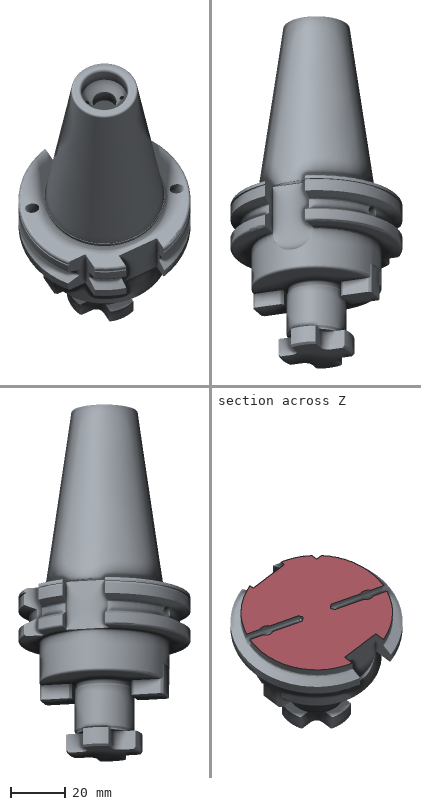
import cadquery as cq
import math

total_height = 129.4

match_distance = 0.01

clearance = 1.3

bolt_radius = 14.0
bolt_height = 7.0
bolt_chamfer = 0.8
arm_width = 9.7
arm_fillet = 3.1

pilot_radius = 11.0
neck_radius = 10.6
pilot_bottom = 7.5
pilot_top = 23.7
pilot_chamfer = 0.8

body_radius = 24.1
body_bottom = 26.0
body_rounding = 1.0
body_top_rounding = 0.4
neck_rounding = 0.6

flange_diameter = 63.5
flange_radius = flange_diameter / 2
flange_bottom = 41.8
flange_top = 59.9
flange_rounding = 1.0
ring_groove_top_drop = 1.5
ring_groove_width = 0.8
ring_groove_depth = 0.8
grip_root_radius = 28.0
grip_center_z = 50.0
grip_root_width = 3.4
grip_mouth_width = 7.4
grip_root_rounding = 0.5

taper_start_z = 62.1
taper_large_radius = 22.0
taper_ratio = 7 / 48
taper_top_rounding = 0.8
collar_groove_bottom = 60.4
collar_groove_top = 61.3
collar_groove_depth = 0.3
collar_radius = 22.1
collar_foot_radius = 23.3
collar_foot_height = 0.5

slot_width = 16.0
left_slot_x = 22.8
right_slot_x = 25.1
notch_distance = 18.5

key_width = 9.8
key_inner = 11.4
key_outer = 23.5
key_bottom = 20.6
key_top = 31.8
key_chamfer = 0.9

bore_radius = 8.5
bore_mouth_rounding = 1.0
bore_depth = 5.5
seat_radius = 7.0
seat_depth = 6.3
hole_radius = 4.4
hole_mouth_depth = 7.5
hole_depth = 13.0

coolant_angle = 70.0
coolant_radius = 2.1
coolant_mouth_distance = 27.0
coolant_slope = 52.0
axial_passage_radius = 0.8
axial_passage_distance = 6.5


def revolve_profile(points, roundings=()):
    """Revolve a closed outline of (radius, height) points about Z.

    Each rounding is a radius with the list of outline points that it rounds.
    """
    outline = cq.Wire.makePolygon([cq.Vector(r, 0, z) for r, z in points], close=True)
    for rounding, corners in roundings:
        places = [cq.Vector(r, 0, z) for r, z in corners]
        vertices = [
            vertex for vertex in outline.Vertices()
            if any((vertex.Center() - place).Length < match_distance for place in places)
        ]
        outline = outline.fillet2D(rounding, vertices)
    axis_start = cq.Vector(0, 0, 0)
    axis_end = cq.Vector(0, 0, 1)
    return cq.Workplane(cq.Solid.revolve(outline, [], 360, axis_start, axis_end))


def box(x_range, y_range, z_range):
    """Box spanning the given (low, high) pair on each axis."""
    sizes = [high - low for low, high in (x_range, y_range, z_range)]
    corner = (x_range[0], y_range[0], z_range[0])
    return cq.Workplane("XY").box(*sizes, centered=False).translate(corner)


def make_turned_body():
    """Everything coaxial above the bolt head."""
    ring_top = flange_top - ring_groove_top_drop
    mouth_half = grip_mouth_width / 2
    root_half = grip_root_width / 2
    groove_floor = collar_radius - collar_groove_depth
    taper_top_radius = taper_large_radius - (total_height - taper_start_z) * taper_ratio

    neck_corner = (neck_radius, body_bottom)
    body_corner = (body_radius, body_bottom)
    body_top_corner = (body_radius, flange_bottom)
    flange_lower_corner = (flange_radius, flange_bottom)
    grip_lower_root = (grip_root_radius, grip_center_z - root_half)
    grip_upper_root = (grip_root_radius, grip_center_z + root_half)
    flange_upper_corner = (flange_radius, flange_top)
    taper_top_corner = (taper_top_radius, total_height)

    outline = [
        (0, bolt_height),
        (neck_radius, bolt_height),
        (neck_radius, pilot_bottom),
        (pilot_radius, pilot_bottom + pilot_chamfer),
        (pilot_radius, pilot_top),
        (neck_radius, pilot_top + pilot_chamfer),
        neck_corner,
        body_corner,
        body_top_corner,
        flange_lower_corner,
        (flange_radius, grip_center_z - mouth_half),
        grip_lower_root,
        grip_upper_root,
        (flange_radius, grip_center_z + mouth_half),
        (flange_radius, ring_top - ring_groove_width),
        (flange_radius - ring_groove_depth, ring_top),
        (flange_radius, ring_top),
        flange_upper_corner,
        (collar_foot_radius, flange_top),
        (collar_radius, flange_top + collar_foot_height),
        (groove_floor, collar_groove_bottom),
        (groove_floor, collar_groove_top),
        (collar_radius, collar_groove_top),
        (collar_radius, taper_start_z),
        (taper_large_radius, taper_start_z),
        taper_top_corner,
        (0, total_height),
    ]
    return revolve_profile(outline, [
        (neck_rounding, [neck_corner]),
        (body_rounding, [body_corner]),
        (body_top_rounding, [body_top_corner]),
        (flange_rounding, [flange_lower_corner, flange_upper_corner]),
        (grip_root_rounding, [grip_lower_root, grip_upper_root]),
        (taper_top_rounding, [taper_top_corner]),
    ])


def make_bolt_head():
    """Cross-shaped head: a chamfered disc trimmed to four arms."""
    disc = cq.Workplane("XY").circle(bolt_radius).extrude(bolt_height)
    disc = disc.faces("<Z").chamfer(bolt_chamfer)
    arm_length = 2 * bolt_radius
    cross = cq.Workplane("XY").rect(arm_length, arm_width).extrude(bolt_height)
    cross = cross.union(cq.Workplane("XY").rect(arm_width, arm_length).extrude(bolt_height))
    half = arm_width / 2
    reach = half + clearance
    inner_corners = cq.selectors.BoxSelector((-reach, -reach, 0), (reach, reach, bolt_height))
    cross = cross.edges("|Z").edges(inner_corners).fillet(arm_fillet)
    return disc.intersect(cross)


def make_flange_cuts():
    """Two drive slots, the left one ending in a half round, and the corner notch."""
    half = slot_width / 2
    reach = flange_radius + clearance
    z_range = (flange_bottom, flange_top)
    left = box((-reach, -left_slot_x), (-half, half), z_range)
    left_end = (
        cq.Workplane("YZ").center(0, flange_bottom).circle(half)
        .extrude(reach - left_slot_x).translate((-reach, 0, 0))
    )
    right = box((right_slot_x, reach), (-half, half), z_range)
    notch = box((notch_distance, reach), (-reach, -notch_distance), z_range)
    return left.union(left_end).union(right).union(notch)


def make_key(side):
    """Drive key on the -Y (side = -1) or +Y (side = 1) half."""
    length = key_outer - key_inner
    middle = side * (key_outer + key_inner) / 2
    key = cq.Workplane("XY").rect(key_width, length).extrude(key_top - key_bottom)
    return key.edges("|Z").chamfer(key_chamfer).translate((0, middle, key_bottom))


def make_keyway(side):
    """Pocket in the body around one key."""
    ends = sorted((side * key_inner, side * (body_radius + clearance)))
    half = key_width / 2
    return box((-half, half), ends, (body_bottom, key_top))


def make_bore():
    """Bore that narrows through two conical steps to a plain hole."""
    return revolve_profile([
        (0, total_height),
        (bore_radius, total_height),
        (bore_radius, total_height - bore_depth),
        (seat_radius, total_height - seat_depth),
        (hole_radius, total_height - hole_mouth_depth),
        (hole_radius, total_height - hole_depth),
        (0, total_height - hole_depth),
    ])


def make_drill(radius, start, end):
    """Cylinder from one point to another."""
    path = cq.Vector(*end) - cq.Vector(*start)
    return cq.Workplane(cq.Solid.makeCylinder(radius, path.Length, cq.Vector(*start), path))


def make_coolant_passages(angle):
    """Sloped drill from the flange face and axial drill from the bore, joined by a radial drill."""
    drop = flange_top - grip_center_z
    run = 1 / math.tan(math.radians(coolant_slope))
    meeting = coolant_mouth_distance - drop * run
    mouth = (coolant_mouth_distance + clearance * run, 0, flange_top + clearance)
    sloped = make_drill(coolant_radius, mouth, (meeting, 0, grip_center_z))
    radial = make_drill(
        coolant_radius, (flange_radius, 0, grip_center_z), (axial_passage_distance, 0, grip_center_z))
    axial = make_drill(
        axial_passage_radius,
        (axial_passage_distance, 0, total_height - bore_depth),
        (axial_passage_distance, 0, grip_center_z))
    return sloped.union(radial).union(axial).rotate((0, 0, 0), (0, 0, 1), angle)


result = make_turned_body().cut(make_bore())
bore_mouth = cq.selectors.RadiusNthSelector(0)
result = result.faces(">Z").edges(bore_mouth).fillet(bore_mouth_rounding)
result = result.union(make_bolt_head()).cut(make_flange_cuts())
for side in (-1, 1):
    result = result.cut(make_keyway(side)).union(make_key(side))
for angle in (coolant_angle, coolant_angle + 180):
    result = result.cut(make_coolant_passages(angle))